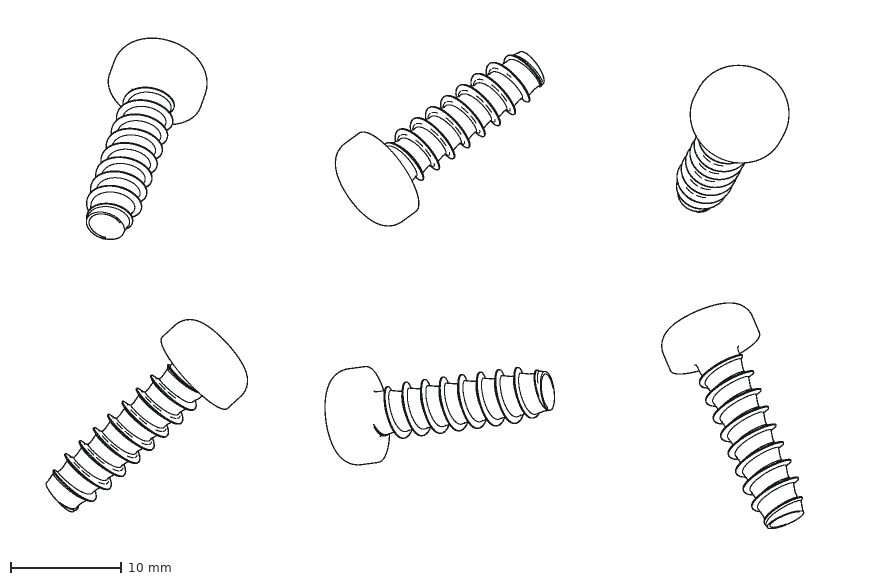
import cadquery as cq
import math


length = 20.5
head_radius = 4.395
head_height = 3.48
head_dome_radius = 1.75
head_rim_radius = 0.08

tip_y = head_height - length
neck_radius = 1.99
neck_fillet = 0.7
neck_length = 1.23
root_radius = 1.76
root_start = 2.17
tip_dish_depth = 0.12

pitch = 1.8
crest_radius = 2.52
crest_half_width = 0.051
first_crest_depth = 1.23
start_turn = -0.5
end_turn = 8.75
fade_turns = 1.6
full_start_turn = 0.75
full_end_turn = 7.25
embed_depth = 0.2
spans_per_turn = 4
steps_per_span = 6

upper_foot = (-0.5, root_radius - embed_depth)
upper_kink = (-0.18, 2.03)
collar = (0.25, 1.95)
collar_end = (1.19, root_radius - 0.02)


def make_body():
    """Head, neck and root core turned about Y, with a shallow conical dish in the tip."""
    diagonal = math.sqrt(0.5)
    dome_centre_x = head_radius - head_dome_radius
    dome_centre_y = head_height - head_dome_radius
    rim_x = head_radius - head_rim_radius
    fillet_x = neck_radius + neck_fillet
    return (
        cq.Workplane("XY")
        .moveTo(0, head_height)
        .lineTo(dome_centre_x, head_height)
        .threePointArc(
            (dome_centre_x + head_dome_radius * diagonal, dome_centre_y + head_dome_radius * diagonal),
            (head_radius, dome_centre_y),
        )
        .lineTo(head_radius, head_rim_radius)
        .threePointArc(
            (rim_x + head_rim_radius * diagonal, head_rim_radius * (1 - diagonal)),
            (rim_x, 0),
        )
        .lineTo(fillet_x, 0)
        .threePointArc(
            (fillet_x - neck_fillet * diagonal, -neck_fillet * (1 - diagonal)),
            (neck_radius, -neck_fillet),
        )
        .lineTo(neck_radius, -neck_length)
        .lineTo(root_radius, -root_start)
        .lineTo(root_radius, tip_y)
        .lineTo(0, tip_y + tip_dish_depth)
        .close()
        .revolve(360, (0, 0, 0), (0, 1, 0))
    )


def crest_fraction(turn):
    """Share of the full thread height reached at a given turn."""
    rise = 1 - (full_start_turn - turn) / fade_turns
    fall = 1 - (turn - full_end_turn) / fade_turns
    return max(0.0, min(1.0, rise, fall))


def thread_section(turn):
    """Corners of the thread section at a turn, as (distance towards the tip, radius)."""
    fraction = crest_fraction(turn)
    crest = root_radius + (crest_radius - root_radius) * fraction
    mid_flank_radius = (root_radius + crest) / 2

    def fade(corner):
        """Shrink an upper-flank corner together with the crest."""
        offset = -crest_half_width + (corner[0] + crest_half_width) * fraction
        return offset, root_radius + (corner[1] - root_radius) * fraction

    return [
        (fade(upper_foot)[0], upper_foot[1]),
        fade(upper_kink),
        (-crest_half_width, crest),
        (crest_half_width, crest),
        (collar[0], min(collar[1], mid_flank_radius)),
        collar_end,
        (collar_end[0], upper_foot[1]),
    ]


def helix_point(turn, corner):
    """Place one section corner on the thread helix."""
    angle = 2 * math.pi * turn
    depth = first_crest_depth + pitch * turn + corner[0]
    return cq.Vector(corner[1] * math.cos(angle), -depth, corner[1] * math.sin(angle))


def make_thread():
    """Thread ridge bounded by ruled faces between helical edges, one span at a time."""
    spans = round((end_turn - start_turn) * spans_per_turn)
    faces = []
    for span in range(spans):
        first = start_turn + span / spans_per_turn
        turns = [first + i / (spans_per_turn * steps_per_span) for i in range(steps_per_span + 1)]
        sections = [[helix_point(t, corner) for corner in thread_section(t)] for t in turns]
        helices = [cq.Edge.makeSpline(list(track), parameters=turns) for track in zip(*sections)]
        for i, helix in enumerate(helices):
            faces.append(cq.Face.makeRuledSurface(helices[i - 1], helix))
    for turn in (start_turn, end_turn):
        end_corners = [helix_point(turn, corner) for corner in thread_section(turn)]
        faces.append(cq.Face.makeFromWires(cq.Wire.makePolygon(end_corners, close=True)))
    return cq.Solid.makeSolid(cq.Shell.makeShell(faces))


def trim_to_tip(shape):
    """Cut away whatever runs past the tip plane."""
    trim = cq.Workplane("XZ", origin=(0, tip_y, 0)).circle(head_radius).extrude(2 * pitch)
    return shape.cut(trim)


thread = trim_to_tip(cq.Workplane(obj=make_thread()))
result = make_body().union(thread)